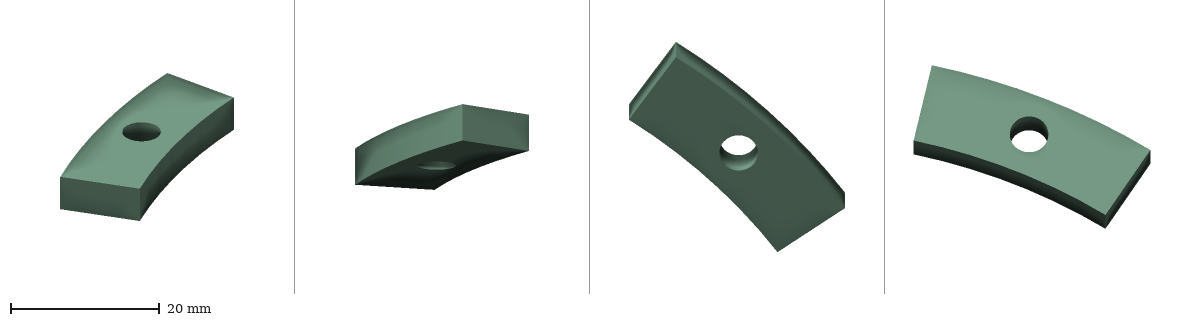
import cadquery as cq
import math

outer_radius = 91.8
inner_radius = 80.6
half_angle = math.radians(10)
thickness = 5.0
hole_diameter = 5.2
hole_radial_position = (outer_radius + inner_radius) / 2


def ring_point(radius, angle):
    """Point on the ring, with the angle measured from the -X axis toward +Y."""
    return (-radius * math.cos(angle), radius * math.sin(angle))


def segment_body():
    """Plate bounded by two concentric arcs and two radial ends."""
    return (
        cq.Workplane("XY")
        .moveTo(*ring_point(outer_radius, -half_angle))
        .threePointArc(ring_point(outer_radius, 0), ring_point(outer_radius, half_angle))
        .lineTo(*ring_point(inner_radius, half_angle))
        .threePointArc(ring_point(inner_radius, 0), ring_point(inner_radius, -half_angle))
        .close()
        .extrude(thickness)
    )


def through_hole():
    """Cylinder that cuts the hole midway between the two arcs."""
    return (
        cq.Workplane("XY")
        .center(*ring_point(hole_radial_position, 0))
        .circle(hole_diameter / 2)
        .extrude(thickness)
    )


result = segment_body().cut(through_hole())